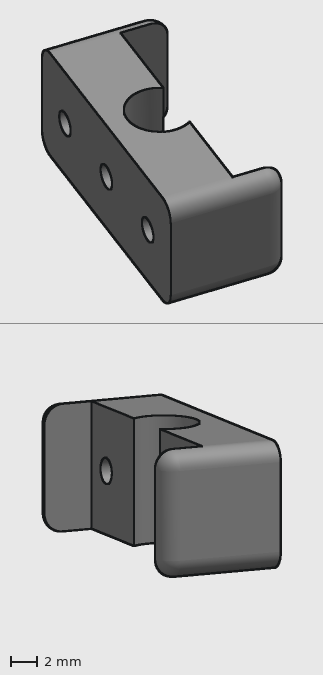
import cadquery as cq

length = 22.95
depth = 10.0
height = 10.0

wall = 1.5
edge_radius = wall

block_depth = 6.0

channel_diameter = 5.5
channel_center_y = 4.55

hole_diameter = 2.05
hole_spacing = 7.37
hole_count = 3


def rounded_body():
    """Box with a flat front face at Y = 0 and every other edge rounded."""
    box = cq.Workplane("XY").box(length, depth, height, centered=(True, False, True))
    return box.edges("not <Y").fillet(edge_radius)


def rear_recess():
    """Clearance behind the block that leaves the two side walls standing."""
    return (
        cq.Workplane("XY")
        .box(length - 2 * wall, depth - block_depth, height, centered=(True, False, True))
        .translate((0, block_depth, 0))
    )


def channel():
    return (
        cq.Workplane("XY")
        .center(0, channel_center_y)
        .circle(channel_diameter / 2)
        .extrude(height / 2, both=True)
    )


def hole_row():
    return (
        cq.Workplane("XZ")
        .rarray(hole_spacing, 0.23, hole_count, 1)
        .circle(hole_diameter / 2)
        .extrude(-depth)
    )


result = rounded_body().cut(rear_recess()).cut(channel()).cut(hole_row())